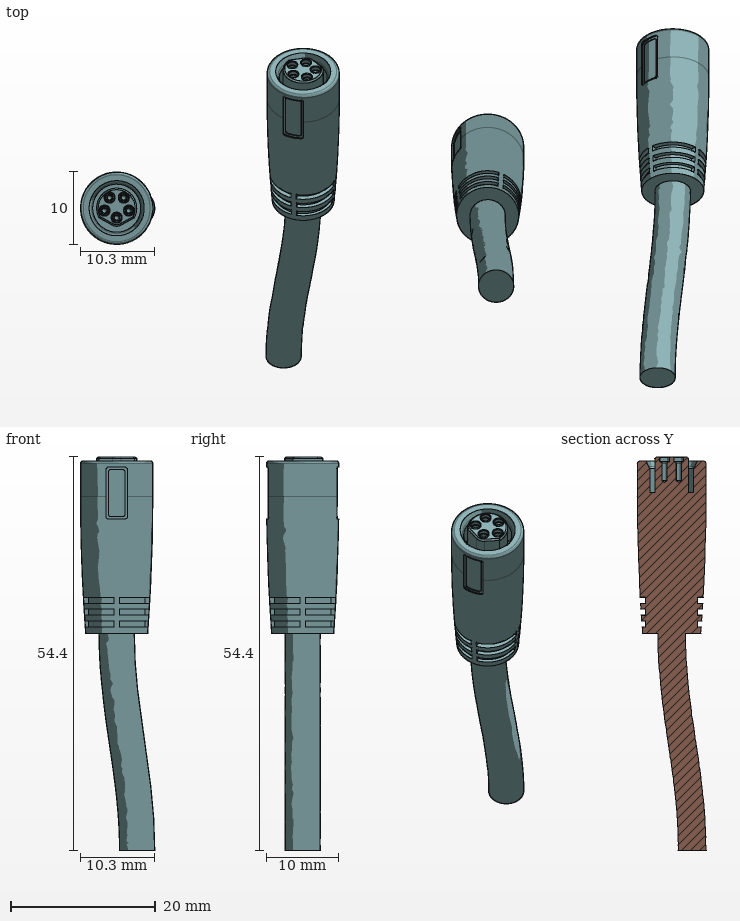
import cadquery as cq
import math

TOTAL_HEIGHT = 54.4
INSERT_PROTRUSION = 0.55
BODY_TOP = TOTAL_HEIGHT - INSERT_PROTRUSION
TAPER_START = 48.95
BODY_BOTTOM = 30.0

BODY_RADIUS = 5.0
BODY_BOTTOM_RADIUS = 4.3
RIM_FILLET = 0.4

BORE_MOUTH_RADIUS = 3.8
BORE_SEAT_RADIUS = 3.5
BORE_RADIUS = 3.3
BORE_MOUTH_DEPTH = 0.8
BORE_SEAT_DEPTH = 1.1
BORE_DEPTH = 4.35

INSERT_RADIUS = 2.8
INSERT_CHAMFER = 0.2
INSERT_EMBEDDING = 0.55
V_ANGLE = math.radians(29)
V_TIP_RADIUS = 1.2

TIP_HOLE = (0, -1.3)
HOLE_CENTRES = [(-1.0, 1.45), (1.0, 1.45), (-1.7, -0.3), (1.7, -0.3), TIP_HOLE]
HOLE_MOUTH_RADIUS = 0.75
HOLE_RADIUS = 0.65
HOLE_LEAD_IN = 0.1
SLEEVE_DEPTH = 0.65
SLEEVE_MOUTH_RADIUS = 0.5
SLEEVE_RADIUS = 0.3
SLEEVE_LEAD_IN = 0.15
HOLE_DEPTH = 3.25
HOLE_POINT_DEPTH = 0.2

GROOVE_FLOOR_RADIUS = 3.9
GROOVE_WIDTH = 0.8
GROOVE_PITCH = 1.65
GROOVE_COUNT = 3
LOWEST_GROOVE_BOTTOM = 30.9
WEB_WIDTH = 0.75

LABEL_WIDTH = 2.95
LABEL_TOP = 53.0
LABEL_BOTTOM = 45.8
LABEL_CORNER = 0.2
LABEL_DEPTH = 0.2
LABEL_BORDER = 0.3
LABEL_PANEL_DEPTH = 0.3

CABLE_RADIUS = 2.45
CABLE_OFFSET = 2.85


def cylinder(radius, bottom, top):
    return cq.Workplane("XY").workplane(offset=bottom).circle(radius).extrude(top - bottom)


def make_body():
    taper_height = TAPER_START - BODY_BOTTOM
    profile = (
        cq.Workplane("XZ")
        .moveTo(0, BODY_BOTTOM)
        .lineTo(0, BODY_TOP)
        .lineTo(BODY_RADIUS, BODY_TOP)
        .lineTo(BODY_RADIUS, TAPER_START)
        .tangentArcPoint((BODY_BOTTOM_RADIUS - BODY_RADIUS, -taper_height))
        .close()
    )
    return profile.revolve(360, (0, 0), (0, 1)).faces(">Z").edges().fillet(RIM_FILLET)


def make_bore():
    bottom = BODY_TOP - BORE_DEPTH
    return (
        cq.Workplane("XZ")
        .moveTo(0, bottom)
        .lineTo(BORE_RADIUS, bottom)
        .lineTo(BORE_RADIUS, BODY_TOP - BORE_SEAT_DEPTH)
        .lineTo(BORE_SEAT_RADIUS, BODY_TOP - BORE_MOUTH_DEPTH)
        .lineTo(BORE_MOUTH_RADIUS, BODY_TOP)
        .lineTo(0, BODY_TOP)
        .close()
        .revolve(360, (0, 0), (0, 1))
    )


def make_insert():
    tip_y = TIP_HOLE[1]
    tangent_x = V_TIP_RADIUS * math.sin(V_ANGLE)
    tangent_y = tip_y - V_TIP_RADIUS * math.cos(V_ANGLE)
    along = tangent_x * math.cos(V_ANGLE) + tangent_y * math.sin(V_ANGLE)
    tangent_distance_squared = tangent_x**2 + tangent_y**2
    flank = math.sqrt(along**2 + INSERT_RADIUS**2 - tangent_distance_squared) - along
    corner_x = tangent_x + flank * math.cos(V_ANGLE)
    corner_y = tangent_y + flank * math.sin(V_ANGLE)
    bottom = BODY_TOP - BORE_DEPTH - INSERT_EMBEDDING
    return (
        cq.Workplane("XY")
        .workplane(offset=bottom)
        .moveTo(-tangent_x, tangent_y)
        .threePointArc((0, tip_y - V_TIP_RADIUS), (tangent_x, tangent_y))
        .lineTo(corner_x, corner_y)
        .threePointArc((0, INSERT_RADIUS), (-corner_x, corner_y))
        .close()
        .extrude(TOTAL_HEIGHT - bottom)
        .faces(">Z")
        .edges()
        .chamfer(INSERT_CHAMFER)
    )


def make_contact_holes():
    floor = TOTAL_HEIGHT - HOLE_DEPTH
    sleeve_top = TOTAL_HEIGHT - SLEEVE_DEPTH
    hole = (
        cq.Workplane("XZ")
        .moveTo(0, floor - HOLE_POINT_DEPTH)
        .lineTo(SLEEVE_RADIUS, floor)
        .lineTo(SLEEVE_RADIUS, sleeve_top - SLEEVE_LEAD_IN)
        .lineTo(SLEEVE_MOUTH_RADIUS, sleeve_top)
        .lineTo(HOLE_RADIUS, sleeve_top)
        .lineTo(HOLE_RADIUS, TOTAL_HEIGHT - HOLE_LEAD_IN)
        .lineTo(HOLE_MOUTH_RADIUS, TOTAL_HEIGHT)
        .lineTo(0, TOTAL_HEIGHT)
        .close()
        .revolve(360, (0, 0), (0, 1))
    )
    holes = cq.Workplane("XY")
    for x, y in HOLE_CENTRES:
        holes = holes.add(hole.translate((x, y, 0)))
    return holes.combine()


def make_grooves():
    grooves = cq.Workplane("XY")
    for index in range(GROOVE_COUNT):
        bottom = LOWEST_GROOVE_BOTTOM + index * GROOVE_PITCH
        top = bottom + GROOVE_WIDTH
        ring = cylinder(BODY_RADIUS, bottom, top).cut(cylinder(GROOVE_FLOOR_RADIUS, bottom, top))
        for length_x, length_y in [(2 * BODY_RADIUS, WEB_WIDTH), (WEB_WIDTH, 2 * BODY_RADIUS)]:
            web = cq.Workplane("XY").workplane(offset=bottom).rect(length_x, length_y).extrude(GROOVE_WIDTH)
            ring = ring.cut(web)
        grooves = grooves.add(ring)
    return grooves.combine()


def make_label_pocket(inset, depth):
    bottom = LABEL_BOTTOM + inset
    top = LABEL_TOP - inset
    block = (
        cq.Workplane("XZ", origin=(0, -BODY_RADIUS, (top + bottom) / 2))
        .rect(LABEL_WIDTH - 2 * inset, top - bottom)
        .extrude(-BODY_RADIUS)
        .edges("|Y")
        .chamfer(LABEL_CORNER)
    )
    return block.cut(cylinder(BODY_RADIUS - depth, bottom, top))


def make_cable():
    path = cq.Workplane("XZ").spline(
        [(CABLE_OFFSET, 0), (0, BODY_BOTTOM)], tangents=[(0, 1), (0, 1)]
    )
    return cq.Workplane("XY", origin=(CABLE_OFFSET, 0, 0)).circle(CABLE_RADIUS).sweep(path)


body = make_body().cut(make_grooves())
for inset, depth in [(0, LABEL_DEPTH), (LABEL_BORDER, LABEL_PANEL_DEPTH)]:
    pocket = make_label_pocket(inset, depth)
    body = body.cut(pocket).cut(pocket.mirror("XZ"))
socket = body.cut(make_bore()).union(make_insert()).cut(make_contact_holes())
result = socket.union(make_cable())